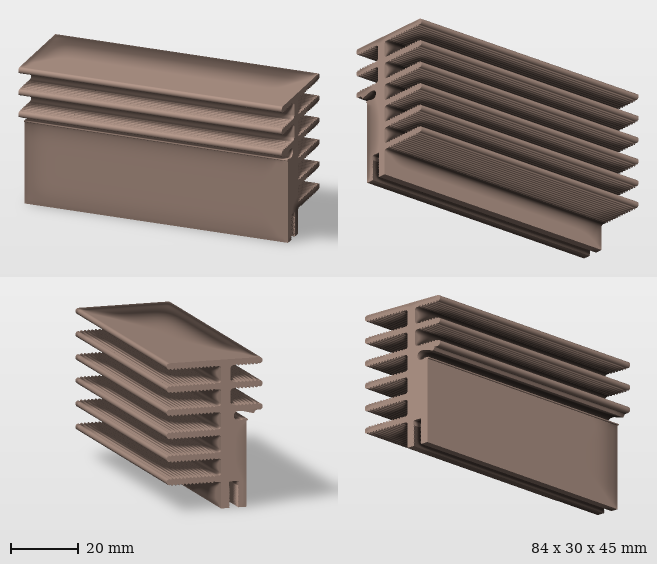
import cadquery as cq
import math

length = 84.0
height = 45.0
left_fin_length = 17.0
right_fin_length = 10.0
web_thickness = 3.0
body_thickness = 8.0
total_width = left_fin_length + web_thickness + right_fin_length

fin_pitch = 7.0
left_fin_count = 6
right_fin_count = 3
fin_half = 0.95
left_root_radius = 0.65
right_root_radius = 0.9
ridge_pitch = 1.135
ridge_height = 0.2
left_ridge_count = 12
right_ridge_count = 6
root_overlap = 1.0

left_face = total_width / 2 - left_fin_length
web_right_face = left_face - web_thickness
body_right_face = left_face - body_thickness
top_fin_z = height - fin_half
clip_fin_z = top_fin_z - (right_fin_count - 1) * fin_pitch

groove_height = 2.8
groove_radius = groove_height / 2
groove_wall = 1.0
groove_top = clip_fin_z - fin_half
groove_floor = groove_top - groove_height
groove_center_y = web_right_face - groove_wall - groove_radius
body_top = groove_floor

hook_depth = 0.92
hook_start = 3.5
hook_tip = 7.0
hook_tip_width = 0.25
hook_end = 7.9

lip_height = 0.3
lip_overhang = 0.45
lip_drop = 0.2
lip_width = 1.6
lip_ramp = 0.5

channel_depth = 8.0
channel_major = 3.0
channel_minor = 2.5
channel_corner = 0.4
thread_pitch = 0.25
thread_ridge_count = 26
channel_y = left_face - body_thickness / 2


def extrude(profile):
    """Extrude a closed (Y, Z) profile along the full length, centred on X."""
    return profile.extrude(length / 2, both=True)


def block(y_min, y_max, z_min, z_max):
    """Rectangular bar running the full length."""
    corners = [(y_min, z_min), (y_max, z_min), (y_max, z_max), (y_min, z_max)]
    return extrude(cq.Workplane("YZ").polyline(corners).close())


def fin(root_y, side, center_z, fin_length, ridge_count, root_radius, upper, lower):
    """Fin reaching from root_y toward side (+1 or -1), ending in a full round.

    upper and lower name each face: "ridged", or "flat" (plain, with no root fillet).
    """
    def point(reach, rise):
        return (root_y + side * reach, center_z + rise)

    tip_start = fin_length - fin_half
    half_wave = ridge_pitch / 2
    fillet_mid = root_radius * (1 - math.sqrt(0.5))

    def face_steps(face, direction):
        """Steps of one face from root to tip, as (arc middle, end) pairs; no middle makes a line."""
        if face == "flat":
            return [(None, point(tip_start, direction * fin_half))]
        arc_count = 2 * ridge_count + 1
        wave_start = tip_start - arc_count * half_wave
        steps = [
            (point(fillet_mid, direction * (fin_half + fillet_mid)),
             point(root_radius, direction * fin_half)),
            (None, point(wave_start, direction * fin_half)),
        ]
        for index in range(arc_count):
            reach = wave_start + index * half_wave
            swing = -ridge_height if index % 2 == 0 else ridge_height
            steps.append((point(reach + half_wave / 2, direction * (fin_half + swing)),
                          point(reach + half_wave, direction * fin_half)))
        return steps

    def root_rise(face):
        return fin_half if face == "flat" else fin_half + root_radius

    def add_step(profile, middle, end):
        return profile.lineTo(*end) if middle is None else profile.threePointArc(middle, end)

    profile = cq.Workplane("YZ").moveTo(*point(-root_overlap, root_rise(upper)))
    profile = profile.lineTo(*point(0, root_rise(upper)))
    for middle, end in face_steps(upper, 1):
        profile = add_step(profile, middle, end)
    profile = profile.threePointArc(point(fin_length, 0), point(tip_start, -fin_half))

    lower_steps = face_steps(lower, -1)
    lower_starts = [point(0, -root_rise(lower))] + [end for _, end in lower_steps[:-1]]
    for (middle, _), start in zip(reversed(lower_steps), reversed(lower_starts)):
        profile = add_step(profile, middle, start)
    profile = profile.lineTo(*point(-root_overlap, -root_rise(lower)))
    return extrude(profile.close())


def walls():
    """Thin upper web, thicker lower body, and the wall behind the clip groove."""
    web = block(web_right_face, left_face, 0, height)
    body = block(body_right_face, left_face, 0, body_top)
    groove_back = block(groove_center_y, left_face, body_top, groove_top)
    return web.union(body).union(groove_back)


def left_fins():
    fins = []
    for index in range(left_fin_count):
        upper = "flat" if index == 0 else "ridged"
        fins.append(fin(left_face, 1, top_fin_z - index * fin_pitch, left_fin_length,
                        left_ridge_count, left_root_radius, upper, "ridged"))
    return fins


def right_fins():
    fins = []
    for index in range(right_fin_count):
        upper = "flat" if index == 0 else "ridged"
        lower = "flat" if index == right_fin_count - 1 else "ridged"
        fins.append(fin(web_right_face, -1, top_fin_z - index * fin_pitch, right_fin_length,
                        right_ridge_count, right_root_radius, upper, lower))
    return fins


def clip_groove():
    """Round-bottomed part of the groove between the clip fin and the body."""
    center_z = groove_top - groove_radius
    return extrude(cq.Workplane("YZ").center(groove_center_y, center_z).circle(groove_radius))


def clip_hook():
    """Barb hanging from the clip fin: a long ramp, a narrow tip and a steep back."""
    tip_z = groove_top - hook_depth
    inside_z = clip_fin_z
    corners = [
        (web_right_face - hook_start, inside_z),
        (web_right_face - hook_start, groove_top),
        (web_right_face - hook_tip, tip_z),
        (web_right_face - hook_tip - hook_tip_width, tip_z),
        (web_right_face - hook_end, groove_top),
        (web_right_face - hook_end, inside_z),
    ]
    return extrude(cq.Workplane("YZ").polyline(corners).close())


def body_lip():
    """Raised lip on the groove floor with a small rounded overhang past the body face."""
    top_z = groove_floor + lip_height
    inner_y = body_right_face + lip_width
    outer_y = body_right_face - lip_overhang
    nose_radius = (lip_height + lip_drop) / 2
    bottom_z = groove_floor - lip_drop
    profile = (
        cq.Workplane("YZ")
        .moveTo(inner_y, bottom_z)
        .lineTo(inner_y, groove_floor)
        .lineTo(inner_y - lip_ramp, top_z)
        .lineTo(outer_y + nose_radius, top_z)
        .threePointArc((outer_y, top_z - nose_radius), (outer_y + nose_radius, bottom_z))
        .close()
    )
    return extrude(profile)


def screw_channel():
    """Open slot with thread ridges along both walls and a plain, rounded inner end."""
    half_major = channel_major / 2
    half_minor = channel_minor / 2
    wall = [(half_major, 0)]
    for index in range(thread_ridge_count):
        low_z = index * thread_pitch
        wall.append((half_minor, low_z + thread_pitch / 2))
        wall.append((half_major, low_z + thread_pitch))
    wall.append((half_major, channel_depth))

    right_wall = [(channel_y - offset, z) for offset, z in wall]
    left_wall = [(channel_y + offset, z) for offset, z in reversed(wall)]
    slot = extrude(cq.Workplane("YZ").polyline(right_wall + left_wall).close())
    return slot.faces(">Z").edges("|X").fillet(channel_corner)


result = walls()
for piece in left_fins() + right_fins():
    result = result.union(piece)
result = result.cut(clip_groove()).union(clip_hook()).union(body_lip()).cut(screw_channel())